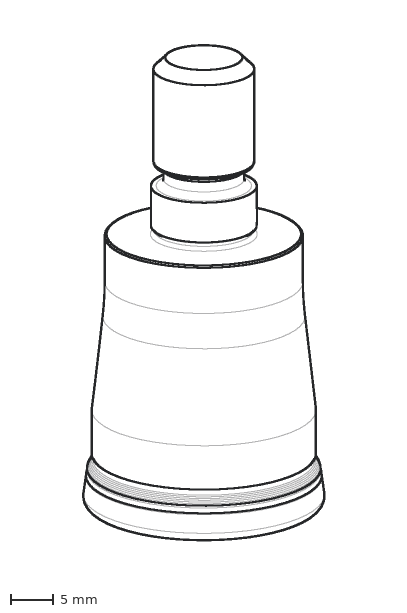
import cadquery as cq
import math

TOTAL_HEIGHT = 57.0

PIN_RADIUS = 6.0
PIN_TOP_CHAMFER = 1.4
PIN_BOTTOM_Z = 43.8
PIN_EDGE_HEIGHT = 0.3
PIN_EDGE_INSET = 0.1
NECK_CONE_RADIUS = 5.5
NECK_RADIUS = 4.8
NECK_FILLET = 0.85
COLLAR_RADIUS = 6.25
COLLAR_TOP_Z = 41.0
COLLAR_BOTTOM_Z = 36.0
COLLAR_BOTTOM_CHAMFER = 0.15

GROOVE_RADIUS = 5.85
GROOVE_FILLET = 0.45

SHOULDER_Z = 34.95
SHOULDER_CHAMFER = 0.2
UPPER_RADIUS = 11.75
BLEND_TOP_Z = 29.0
BLEND_BOTTOM_Z = 24.7
LOWER_RADIUS = 13.3
LOWER_TOP_Z = 13.0
LOWER_BOTTOM_Z = 7.5

WAIST_RADIUS = 13.05
WAIST_Z = 7.05
FLANGE_TOP_RADIUS = 13.15
FLANGE_TOP_Z = 6.8
FLANGE_TOP_SLOPE = 45.0
FLANGE_FACETS = 6
FLANGE_RADIUS = 13.85
FLANGE_FACETS_BOTTOM_Z = 5.7
FLANGE_LAND_BOTTOM_Z = 5.4
JOINT_Z = 4.8
JOINT_RADIUS = 13.95

CAP_LAND_HEIGHT = 0.15
RIM_DIAMETER = 28.55
RIM_RADIUS = RIM_DIAMETER / 2
RIM_Z = 2.4
RIM_FILLET = 1.0
BASE_RADIUS = 8.85
BASE_ANGLE = 15.1


def flange_points():
    """Corners of the narrow conical bands that follow a round shoulder on the flange."""
    width = FLANGE_RADIUS - FLANGE_TOP_RADIUS
    height = FLANGE_TOP_Z - FLANGE_FACETS_BOTTOM_Z
    start_angle = math.radians(FLANGE_TOP_SLOPE)
    turn = 2 * (math.atan2(height, width) - start_angle)
    arc_radius = math.hypot(width, height) / (2 * math.sin(turn / 2))
    points = []
    for i in range(FLANGE_FACETS + 1):
        angle = start_angle + turn * i / FLANGE_FACETS
        radius = FLANGE_TOP_RADIUS + arc_radius * (math.sin(angle) - math.sin(start_angle))
        z = FLANGE_TOP_Z - arc_radius * (math.cos(start_angle) - math.cos(angle))
        points.append((radius, z))
    return points


def holder_body():
    """Shank, collar, tapered body and flange, turned as one piece."""
    pin_edge_radius = PIN_RADIUS - PIN_EDGE_INSET
    neck_cone_height = NECK_CONE_RADIUS - NECK_RADIUS
    groove_z = SHOULDER_Z + GROOVE_FILLET
    collar_foot_z = COLLAR_BOTTOM_Z - COLLAR_BOTTOM_CHAMFER
    collar_foot_radius = COLLAR_RADIUS - COLLAR_BOTTOM_CHAMFER

    blend_height = BLEND_TOP_Z - BLEND_BOTTOM_Z
    cone_height = BLEND_BOTTOM_Z - LOWER_TOP_Z
    taper_angle = math.atan((LOWER_RADIUS - UPPER_RADIUS) / (blend_height / 2 + cone_height))
    blend_radius = LOWER_RADIUS - cone_height * math.tan(taper_angle)

    profile = (
        cq.Workplane("XZ")
        .moveTo(0, TOTAL_HEIGHT)
        .lineTo(PIN_RADIUS - PIN_TOP_CHAMFER, TOTAL_HEIGHT)
        .lineTo(PIN_RADIUS, TOTAL_HEIGHT - PIN_TOP_CHAMFER)
        .lineTo(PIN_RADIUS, PIN_BOTTOM_Z + PIN_EDGE_HEIGHT)
        .lineTo(pin_edge_radius, PIN_BOTTOM_Z)
        .lineTo(NECK_CONE_RADIUS, PIN_BOTTOM_Z)
        .lineTo(NECK_RADIUS, PIN_BOTTOM_Z - neck_cone_height)
        .lineTo(NECK_RADIUS, COLLAR_TOP_Z + NECK_FILLET)
        .radiusArc((NECK_RADIUS + NECK_FILLET, COLLAR_TOP_Z), -NECK_FILLET)
        .lineTo(COLLAR_RADIUS, COLLAR_TOP_Z)
        .lineTo(COLLAR_RADIUS, COLLAR_BOTTOM_Z)
        .lineTo(collar_foot_radius, collar_foot_z)
        .radiusArc((GROOVE_RADIUS, groove_z), -GROOVE_FILLET)
        .radiusArc((GROOVE_RADIUS + GROOVE_FILLET, SHOULDER_Z), -GROOVE_FILLET)
        .lineTo(UPPER_RADIUS - SHOULDER_CHAMFER, SHOULDER_Z)
        .lineTo(UPPER_RADIUS, SHOULDER_Z - SHOULDER_CHAMFER)
        .lineTo(UPPER_RADIUS, BLEND_TOP_Z)
        .tangentArcPoint((blend_radius, BLEND_BOTTOM_Z), relative=False)
        .lineTo(LOWER_RADIUS, LOWER_TOP_Z)
        .lineTo(LOWER_RADIUS, LOWER_BOTTOM_Z)
        .threePointArc((WAIST_RADIUS, WAIST_Z), (FLANGE_TOP_RADIUS, FLANGE_TOP_Z))
    )
    for point in flange_points()[1:]:
        profile = profile.lineTo(*point)
    profile = (
        profile
        .lineTo(FLANGE_RADIUS, FLANGE_LAND_BOTTOM_Z)
        .lineTo(JOINT_RADIUS, JOINT_Z)
        .lineTo(0, JOINT_Z)
        .close()
    )
    return profile.revolve(360, (0, 0), (0, 1))


def cap_body():
    """Round cap below the holder, with a flared rim and a shallow conical underside."""
    land_bottom_z = JOINT_Z - CAP_LAND_HEIGHT

    flare_angle = math.atan((RIM_RADIUS - JOINT_RADIUS) / (land_bottom_z - RIM_Z))
    base_angle = math.radians(BASE_ANGLE)
    centre_radius = RIM_RADIUS - RIM_FILLET * math.cos(flare_angle)
    foot_radius = centre_radius + RIM_FILLET * math.sin(base_angle)
    foot_z = (foot_radius - BASE_RADIUS) * math.tan(base_angle)

    profile = (
        cq.Workplane("XZ")
        .moveTo(0, JOINT_Z)
        .lineTo(JOINT_RADIUS, JOINT_Z)
        .lineTo(JOINT_RADIUS, land_bottom_z)
        .lineTo(RIM_RADIUS, RIM_Z)
        .tangentArcPoint((foot_radius, foot_z), relative=False)
        .lineTo(BASE_RADIUS, 0)
        .lineTo(0, 0)
        .close()
    )
    return profile.revolve(360, (0, 0), (0, 1))


holder = holder_body()
cap = cap_body()

result = cq.Compound.makeCompound([holder.val(), cap.val()])